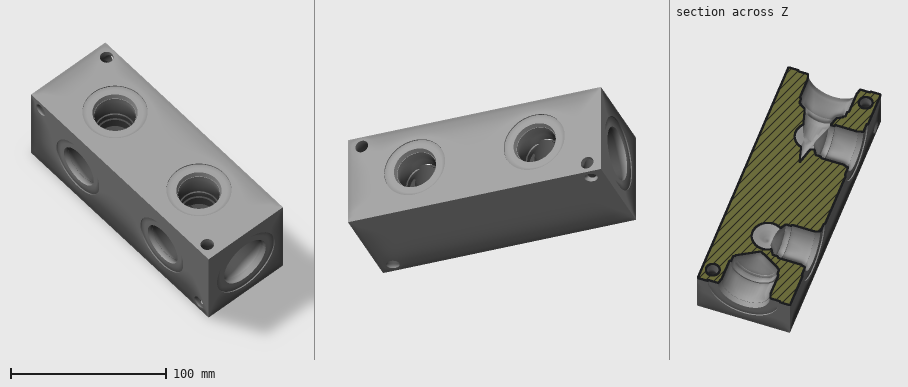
import cadquery as cq
import math

FULL_TURN = 360
HALF_TURN = FULL_TURN / 2
QUARTER_TURN = FULL_TURN / 4

LENGTH = 174.62
WIDTH = 63.5
HEIGHT = 63.5

MOUNT_DIAMETER = 8.74
MOUNT_END_INSET = 9.53
MOUNT_SIDE_INSET = 7.14

SPOTFACE_DEPTH = 0.79
THREAD_DEPTH = 19.85
TAP_DEPTH = 23.75
SEAT_HALF_ANGLE = math.radians(15)
POINT_HALF_ANGLE = math.radians(60)

SIDE_PORT_PITCH = 82.55
SIDE_SPOTFACE_DIAMETER = 42.04
SIDE_SEAT_DIAMETER = 29.2
SIDE_ROOT_DIAMETER = 27.43
SIDE_THREAD_DIAMETER = 26.99
SIDE_TAP_DIAMETER = 24.9
TOP_DRILL_DIAMETER = 23.01
TOP_DRILL_DEPTH = 31.0

END_SPOTFACE_DIAMETER = 49.12
END_SEAT_DIAMETER = 35.51
END_ROOT_DIAMETER = 33.76
END_THREAD_DIAMETER = 33.34
END_TAP_DIAMETER = 31.27
END_DRILL_DIAMETER = 28.57
END_DRILL_DEPTH = 25.0


def revolved_bore(steps):
    """Bore opening at the origin and running along -Z, from (diameter, depth) pairs ending on the axis."""
    points = [(-diameter / 2, -depth) for diameter, depth in steps]
    profile = cq.Workplane("XZ").polyline([(0, 0)] + points).close()
    return profile.revolve(FULL_TURN, (0, 0, 0), (0, 1, 0))


def taper_length(large, small, half_angle):
    """Axial length of a cone between two diameters."""
    return (large - small) / 2 / math.tan(half_angle)


def port(spotface, seat, root, thread, tap, drill=None, drill_depth=None):
    """Spotfaced O-ring port: tapered seat, thread at its major diameter, tap hole and pointed drill hole.

    Without a drill the tap hole itself ends in the point.
    """
    seat_end = SPOTFACE_DEPTH + taper_length(seat, root, SEAT_HALF_ANGLE)
    steps = [
        (spotface, 0),
        (spotface, SPOTFACE_DEPTH),
        (seat, SPOTFACE_DEPTH),
        (root, seat_end),
        (thread, seat_end),
        (thread, THREAD_DEPTH),
        (tap, THREAD_DEPTH),
        (tap, TAP_DEPTH),
    ]
    end_diameter, end_depth = steps[-1]
    if drill:
        shoulder_end = TAP_DEPTH + taper_length(tap, drill, POINT_HALF_ANGLE)
        steps += [(drill, shoulder_end), (drill, drill_depth)]
        end_diameter, end_depth = steps[-1]
    steps.append((0, end_depth + taper_length(end_diameter, 0, POINT_HALF_ANGLE)))
    return revolved_bore(steps)


def side_port(drill=None, drill_depth=None):
    """Port for the -Y and +Z faces."""
    return port(
        SIDE_SPOTFACE_DIAMETER, SIDE_SEAT_DIAMETER, SIDE_ROOT_DIAMETER,
        SIDE_THREAD_DIAMETER, SIDE_TAP_DIAMETER, drill, drill_depth,
    )


def end_port():
    """Port for the -X and +X ends."""
    return port(
        END_SPOTFACE_DIAMETER, END_SEAT_DIAMETER, END_ROOT_DIAMETER,
        END_THREAD_DIAMETER, END_TAP_DIAMETER, END_DRILL_DIAMETER, END_DRILL_DEPTH,
    )


def end_taper():
    """Slender cone that carries the seat taper of an end port on to its point."""
    tip_depth = SPOTFACE_DEPTH + taper_length(END_SEAT_DIAMETER, 0, SEAT_HALF_ANGLE)
    return revolved_bore([
        (END_SEAT_DIAMETER, 0),
        (END_SEAT_DIAMETER, SPOTFACE_DEPTH),
        (0, tip_depth),
    ])


def on_front(tool, x):
    """Place a tool on the -Y face."""
    return tool.rotate((0, 0, 0), (1, 0, 0), QUARTER_TURN).translate((x, -WIDTH / 2, 0))


def on_top(tool, x):
    """Place a tool on the +Z face."""
    return tool.translate((x, 0, HEIGHT / 2))


def on_end(tool, side):
    """Place a tool on the -X end (side = -1) or the +X end (side = 1)."""
    facing_front = tool.rotate((0, 0, 0), (1, 0, 0), QUARTER_TURN)
    facing_end = facing_front.rotate((0, 0, 0), (0, 0, 1), side * QUARTER_TURN)
    return facing_end.translate((side * LENGTH / 2, 0, 0))


def cut_mounting_holes(body):
    """Two holes along Z and two along Y, each pair at diagonally opposite corners."""
    x = LENGTH / 2 - MOUNT_END_INSET
    z = HEIGHT / 2 - MOUNT_SIDE_INSET
    y = WIDTH / 2 - MOUNT_SIDE_INSET
    along_z = (
        cq.Workplane("XY").pushPoints([(-x, y), (x, -y)])
        .circle(MOUNT_DIAMETER / 2).extrude(HEIGHT / 2, both=True)
    )
    along_y = (
        cq.Workplane("XZ").pushPoints([(-x, z), (x, -z)])
        .circle(MOUNT_DIAMETER / 2).extrude(WIDTH / 2, both=True)
    )
    return body.cut(along_z).cut(along_y)


def cut_side_ports(body):
    """Two pairs of meeting ports, one pair to either side of the middle of the length."""
    for x in (-SIDE_PORT_PITCH / 2, SIDE_PORT_PITCH / 2):
        body = body.cut(on_front(side_port(), x))
        body = body.cut(on_top(side_port(TOP_DRILL_DIAMETER, TOP_DRILL_DEPTH), x))
    return body


def cut_end_ports(body):
    """A port in each end; the taper links the +X one to the side ports nearest to it."""
    for side in (-1, 1):
        body = body.cut(on_end(end_port(), side))
    taper = end_taper().rotate((0, 0, 0), (0, 0, 1), HALF_TURN)
    return body.cut(on_end(taper, 1))


block = cq.Workplane("XY").box(LENGTH, WIDTH, HEIGHT)
block = cut_mounting_holes(block)
block = cut_side_ports(block)
result = cut_end_ports(block)